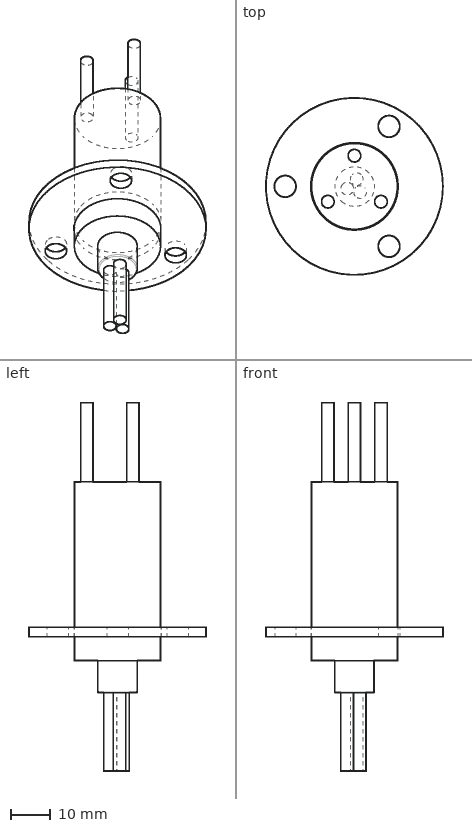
import cadquery as cq
import math

upper_wire_length = 20.0
lower_wire_length = 19.8
shaft_length = 8.1
barrel_length = 45.2
flange_offset = 6.0
shaft_bottom = lower_wire_length
barrel_bottom = shaft_bottom + shaft_length
barrel_top = barrel_bottom + barrel_length

barrel_diameter = 21.8
shaft_diameter = 10.0
shaft_end_fillet = 0.3

wire_count = 3
wire_diameter = 3.2
upper_wire_circle_radius = 7.75
upper_wire_first_angle = 90.0
lower_wire_circle_radius = 1.95
lower_wire_first_angle = 75.0

flange_diameter = 44.8
flange_thickness = 2.5
bore_clearance = 0.1
bolt_hole_count = 3
bolt_hole_diameter = 5.4
bolt_circle_radius = 17.5
bolt_first_angle = 60.0


def cylinder(diameter, bottom, height):
    """Upright cylinder on the part axis."""
    return cq.Workplane("XY").workplane(offset=bottom).circle(diameter / 2).extrude(height)


def circle_pattern(radius, first_angle, count):
    """Evenly spaced points on a circle about the part axis."""
    angles = [math.radians(first_angle + i * 360.0 / count) for i in range(count)]
    return [(radius * math.cos(a), radius * math.sin(a)) for a in angles]


def make_wires(circle_radius, first_angle, bottom, length):
    """Straight round wires spaced evenly about the part axis."""
    return (
        cq.Workplane("XY")
        .workplane(offset=bottom)
        .pushPoints(circle_pattern(circle_radius, first_angle, wire_count))
        .circle(wire_diameter / 2)
        .extrude(length)
    )


def make_slip_ring():
    """Barrel with its shaft and the lead wires at both ends."""
    barrel = cylinder(barrel_diameter, barrel_bottom, barrel_length)
    shaft = cylinder(shaft_diameter, shaft_bottom, shaft_length)
    shaft = shaft.faces("<Z").edges().fillet(shaft_end_fillet)
    upper_wires = make_wires(upper_wire_circle_radius, upper_wire_first_angle, barrel_top, upper_wire_length)
    lower_wires = make_wires(lower_wire_circle_radius, lower_wire_first_angle, 0, lower_wire_length)
    return barrel.union(shaft).union(upper_wires).union(lower_wires)


def make_flange():
    """Round plate that fits around the barrel."""
    bottom = barrel_bottom + flange_offset
    bore = cylinder(barrel_diameter + 2 * bore_clearance, bottom, flange_thickness)
    bolt_holes = (
        cq.Workplane("XY")
        .workplane(offset=bottom)
        .pushPoints(circle_pattern(bolt_circle_radius, bolt_first_angle, bolt_hole_count))
        .circle(bolt_hole_diameter / 2)
        .extrude(flange_thickness)
    )
    return cylinder(flange_diameter, bottom, flange_thickness).cut(bore).cut(bolt_holes)


slip_ring = make_slip_ring()
flange = make_flange()

result = cq.Compound.makeCompound([slip_ring.val(), flange.val()])